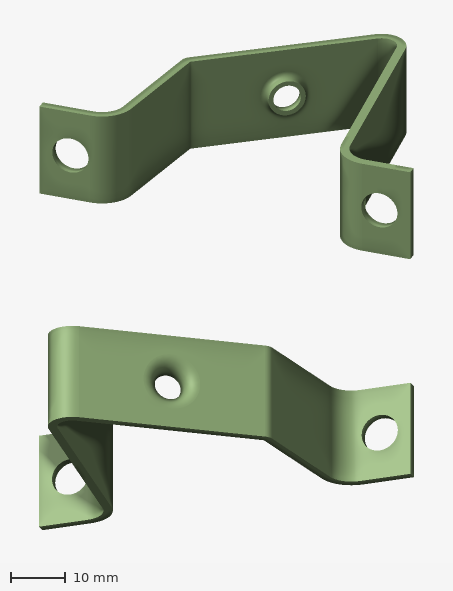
import cadquery as cq
import math

overall_length = 72.0
strip_width = 18.0
thickness = 1.7

leg_foot_spacing = 42.0
left_leg_lean = 10.55
right_leg_lean = 5.15
ramp_angle = 35.0
ramp_height = 36.95

foot_bend_radius = 4.5
knee_bend_radius = 0.5
apex_bend_radius = 2.8

mount_hole_diameter = 7.0
mount_hole_spacing = 60.0

collar_x = -1.7
collar_diameter = 7.0
collar_height = 1.9
collar_root_radius = 1.0
bore_diameter = 5.19
mouth_radius = 2.75


def ramp_y(x):
    """Y of the ramp's inside face at the given X."""
    return ramp_height + x * math.tan(math.radians(ramp_angle))


def leg_ramp_corner(foot_x, lean):
    """Sharp corner of the ramp and a leg rising from foot_x, leaning towards +X by lean degrees."""
    run = math.tan(math.radians(lean))
    y = ramp_y(foot_x) / (1 - run * math.tan(math.radians(ramp_angle)))
    return (foot_x + run * y, y)


def left_normal(start, end):
    """Unit vector to the left of the direction from start to end."""
    length = math.dist(start, end)
    return ((start[1] - end[1]) / length, (end[0] - start[0]) / length)


def bend_arcs(before, corner, after, bend_radius):
    """Start, middle and end points of the bend on the inside face and on the outer face."""
    n1 = left_normal(before, corner)
    n2 = left_normal(corner, after)
    turns_left = n1[0] * n2[1] - n1[1] * n2[0] > 0
    if turns_left:
        inside_offset = -(bend_radius + thickness)
    else:
        inside_offset = bend_radius
    outer_offset = inside_offset + thickness

    half_length = math.hypot(n1[0] + n2[0], n1[1] + n2[1]) / 2
    middle = ((n1[0] + n2[0]) / 2 / half_length, (n1[1] + n2[1]) / 2 / half_length)
    center = [corner[i] - middle[i] * inside_offset / half_length for i in range(2)]

    def arc(offset):
        return [(center[0] + n[0] * offset, center[1] + n[1] * offset) for n in (n1, middle, n2)]

    return arc(inside_offset), arc(outer_offset)


def make_strip():
    """Bent strip extruded symmetrically about Z = 0."""
    foot_end = overall_length / 2
    foot_x = leg_foot_spacing / 2
    corners = [
        (-foot_end, 0),
        (-foot_x, 0),
        leg_ramp_corner(-foot_x, left_leg_lean),
        leg_ramp_corner(foot_x, -right_leg_lean),
        (foot_x, 0),
        (foot_end, 0),
    ]
    radii = [foot_bend_radius, knee_bend_radius, apex_bend_radius, foot_bend_radius]
    bends = [bend_arcs(*corners[i:i + 3], radius) for i, radius in enumerate(radii)]

    outline = cq.Workplane("XY").moveTo(-foot_end, 0)
    for inside_arc, _ in bends:
        start, middle, end = inside_arc
        outline = outline.lineTo(*start).threePointArc(middle, end)
    outline = outline.lineTo(foot_end, 0).lineTo(foot_end, thickness)
    for _, outer_arc in reversed(bends):
        start, middle, end = outer_arc
        outline = outline.lineTo(*end).threePointArc(middle, start)
    outline = outline.lineTo(-foot_end, thickness).close()
    return outline.extrude(strip_width / 2, both=True)


def make_mount_holes():
    """Cutters for the holes through both feet."""
    centers = [(-mount_hole_spacing / 2, 0), (mount_hole_spacing / 2, 0)]
    feet = cq.Workplane("XZ").pushPoints(centers)
    return feet.circle(mount_hole_diameter / 2).extrude(-thickness)


def revolve_on_collar_axis(profile):
    """Revolve a (radius, height) profile about the collar axis; height 0 is the ramp's inside face."""
    solid = profile.close().revolve(360, (0, 0, 0), (0, 1, 0))
    return solid.rotate((0, 0, 0), (0, 0, 1), ramp_angle).translate((collar_x, ramp_y(collar_x), 0))


def make_collar():
    """Collar body with a concave root fillet, reaching up into the ramp to its mid-thickness."""
    radius = collar_diameter / 2
    root_outer = radius + collar_root_radius
    blend = collar_root_radius * (1 - math.sqrt(0.5))
    profile = (
        cq.Workplane("XY")
        .moveTo(0, -collar_height)
        .lineTo(radius, -collar_height)
        .lineTo(radius, -collar_root_radius)
        .threePointArc((radius + blend, -blend), (root_outer, 0))
        .lineTo(root_outer, thickness / 2)
        .lineTo(0, thickness / 2)
    )
    return revolve_on_collar_axis(profile)


def make_bore():
    """Cutter for the bore and its rounded mouth on the ramp's outer face."""
    radius = bore_diameter / 2
    blend = mouth_radius * (1 - math.sqrt(0.5))
    profile = (
        cq.Workplane("XY")
        .moveTo(0, -collar_height)
        .lineTo(radius, -collar_height)
        .lineTo(radius, thickness - mouth_radius)
        .threePointArc((radius + blend, thickness - blend), (radius + mouth_radius, thickness))
        .lineTo(0, thickness)
    )
    return revolve_on_collar_axis(profile)


result = make_strip().cut(make_mount_holes()).union(make_collar()).cut(make_bore())